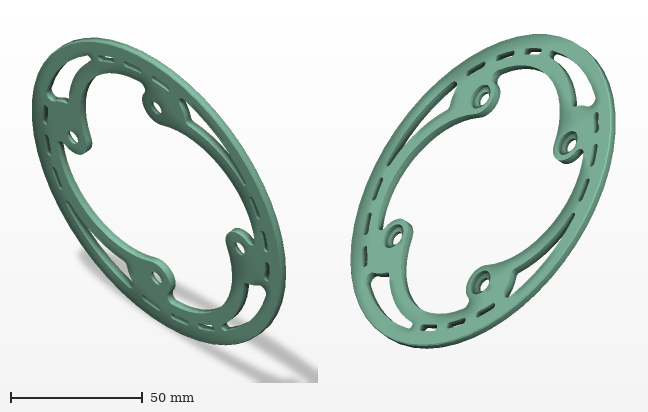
import cadquery as cq
import math

outer_radius = 66.3
thickness = 3.0
rim_chamfer = 0.4
quarter_turns = 4

boss_circle_radius = 44.2
boss_radius = 7.4
hole_radius = 2.8

counterbore_radius = 5.0
land_thickness = 1.3

swirl_center = (17.0, 4.8)
hook_radius = 2.7

pocket_outer_radius = 60.1
arm_width = 6.1
boss_wall_radius = 15.9
pocket_tip_radius = 1.3
pocket_boss_corner_radius = 1.7
pocket_rim_corner_radius = 2.5

slot_width = 2.7
slot_center_radius = pocket_outer_radius - slot_width / 2
slot_sweep = 7.0
first_slot_angle = -2.4
slot_pitch = 14.6
slots_per_quarter = 3

ring_center = (0.0, 0.0)
right_boss = (boss_circle_radius, 0.0)
top_boss = (0.0, boss_circle_radius)
swirl_radius = math.dist(swirl_center, top_boss) - boss_radius
arm_radius = swirl_radius + arm_width


def back_face_plane():
    """XZ workplane on the +Y face; extrusions run towards -Y, through the plate."""
    return cq.Workplane("XZ", origin=(0, thickness / 2, 0))


def polar(radius, degrees):
    angle = math.radians(degrees)
    return (radius * math.cos(angle), radius * math.sin(angle))


def quarter_turned(point, turns):
    """Turn a point counter-clockwise by a number of right angles."""
    x, z = point
    for _ in range(turns):
        x, z = -z, x
    return (x, z)


def along(start, end, distance):
    """Point at a distance from start, in the direction of end."""
    share = distance / math.dist(start, end)
    return (start[0] + share * (end[0] - start[0]), start[1] + share * (end[1] - start[1]))


def circles_meet(center_a, radius_a, center_b, radius_b):
    """Meeting point of two circles that lies left of the line from a to b."""
    gap = math.dist(center_a, center_b)
    forward = (gap**2 + radius_a**2 - radius_b**2) / (2 * gap)
    sideways = math.sqrt(radius_a**2 - forward**2)
    ux = (center_b[0] - center_a[0]) / gap
    uz = (center_b[1] - center_a[1]) / gap
    return (
        center_a[0] + forward * ux - sideways * uz,
        center_a[1] + forward * uz + sideways * ux,
    )


def arc(center, start, end):
    """Middle and end of the shorter arc around center from start to end."""
    chord_middle = ((start[0] + end[0]) / 2, (start[1] + end[1]) / 2)
    return (along(center, chord_middle, math.dist(center, start)), end)


def through_cutter(start, arcs):
    """Solid through the plate, outlined by a closed chain of (middle, end) arcs."""
    outline = back_face_plane().moveTo(*start)
    for middle, end in arcs:
        outline = outline.threePointArc(middle, end)
    return outline.close().extrude(thickness)


def ring_plate():
    plate = back_face_plane().circle(outer_radius).extrude(thickness)
    return plate.edges().chamfer(rim_chamfer)


def central_opening():
    hook_center = circles_meet(
        swirl_center, swirl_radius - hook_radius, right_boss, boss_radius + hook_radius
    )
    boss_end = along(right_boss, hook_center, boss_radius)
    hook_end = along(swirl_center, hook_center, swirl_radius)
    swirl_end = along(top_boss, swirl_center, boss_radius)
    boss_start = quarter_turned(swirl_end, quarter_turns - 1)

    quarter = [
        arc(right_boss, boss_start, boss_end),
        arc(hook_center, boss_end, hook_end),
        arc(swirl_center, hook_end, swirl_end),
    ]
    arcs = []
    for turns in range(quarter_turns):
        for middle, end in quarter:
            arcs.append((quarter_turned(middle, turns), quarter_turned(end, turns)))
    return through_cutter(boss_start, arcs)


def crescent_pocket():
    tip = circles_meet(
        ring_center, pocket_outer_radius - pocket_tip_radius,
        swirl_center, arm_radius + pocket_tip_radius,
    )
    rim_corner = circles_meet(
        top_boss, boss_wall_radius + pocket_rim_corner_radius,
        ring_center, pocket_outer_radius - pocket_rim_corner_radius,
    )
    boss_corner = circles_meet(
        top_boss, boss_wall_radius + pocket_boss_corner_radius,
        swirl_center, arm_radius + pocket_boss_corner_radius,
    )
    rim_start = along(ring_center, tip, pocket_outer_radius)
    rim_end = along(ring_center, rim_corner, pocket_outer_radius)
    wall_start = along(top_boss, rim_corner, boss_wall_radius)
    wall_end = along(top_boss, boss_corner, boss_wall_radius)
    arm_start = along(swirl_center, boss_corner, arm_radius)
    arm_end = along(swirl_center, tip, arm_radius)

    return through_cutter(rim_start, [
        arc(ring_center, rim_start, rim_end),
        arc(rim_corner, rim_end, wall_start),
        arc(top_boss, wall_start, wall_end),
        arc(boss_corner, wall_end, arm_start),
        arc(swirl_center, arm_start, arm_end),
        arc(tip, arm_end, rim_start),
    ])


def rim_slot(angle):
    inner_radius = slot_center_radius - slot_width / 2
    first = angle - slot_sweep / 2
    last = angle + slot_sweep / 2
    outer_start = polar(pocket_outer_radius, first)
    outer_end = polar(pocket_outer_radius, last)
    inner_end = polar(inner_radius, last)
    inner_start = polar(inner_radius, first)
    end_bulge = math.degrees(slot_width / 2 / slot_center_radius)

    return through_cutter(outer_start, [
        arc(ring_center, outer_start, outer_end),
        (polar(slot_center_radius, last + end_bulge), inner_end),
        arc(ring_center, inner_end, inner_start),
        (polar(slot_center_radius, first - end_bulge), outer_start),
    ])


def counterbored_hole():
    center = back_face_plane().center(*right_boss)
    hole = center.circle(hole_radius).extrude(thickness)
    counterbore = center.circle(counterbore_radius).extrude(thickness - land_thickness)
    return hole.union(counterbore)


quarter_cutters = [crescent_pocket(), counterbored_hole()]
for slot in range(slots_per_quarter):
    quarter_cutters.append(rim_slot(first_slot_angle + slot * slot_pitch))

result = ring_plate().cut(central_opening())
for turns in range(quarter_turns):
    turn_angle = -turns * 360 / quarter_turns
    for cutter in quarter_cutters:
        result = result.cut(cutter.rotate((0, 0, 0), (0, 1, 0), turn_angle))